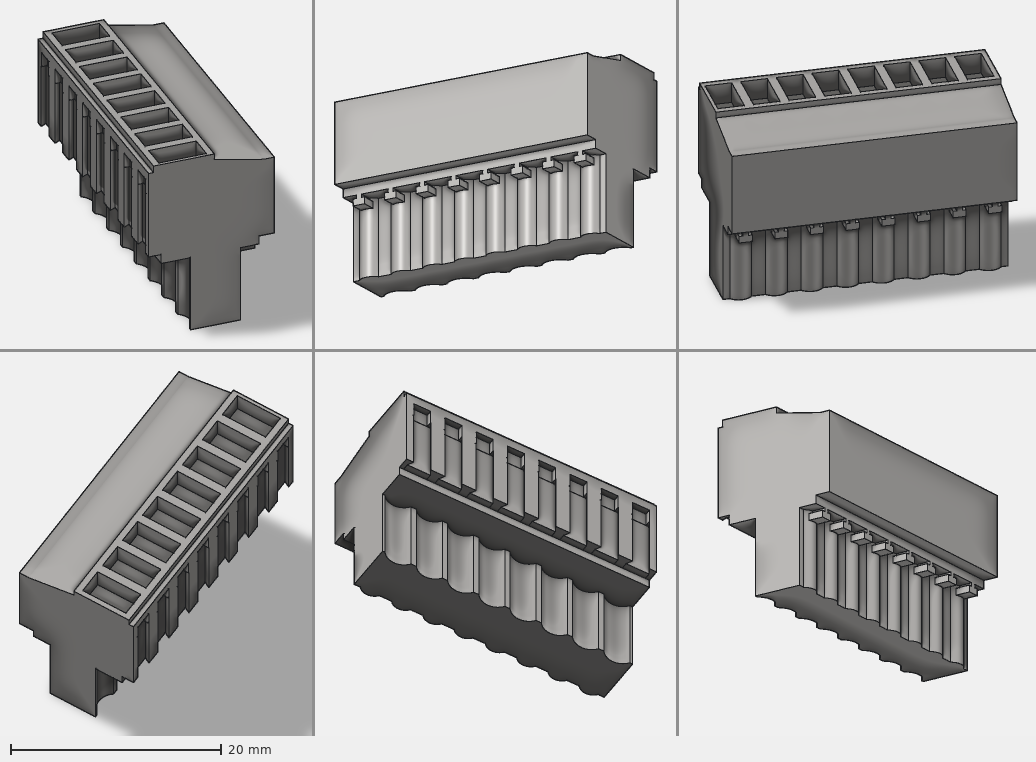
import cadquery as cq

LENGTH = 28.0
DEPTH = 12.9
HEIGHT = 18.7
POLE_COUNT = 8
PITCH = LENGTH / POLE_COUNT

RIM_FRONT_Y = 0.5
RIM_BACK_Y = 6.75
SLOPE_BACK_Y = 11.82
FLANGE_FRONT_Y = 1.3
FLANGE_BACK_Y = 11.35
SHANK_FRONT_Y = 4.3
SHANK_BACK_Y = 9.45
LEDGE_Z = HEIGHT - 0.7
SLOPE_TOP_Z = HEIGHT - 0.62
SLOPE_BOTTOM_Z = HEIGHT - 1.65
BODY_FRONT_Z = 8.88
BODY_BACK_Z = 8.75
FLANGE_Z = 7.9

POCKET_WIDTH = 2.6
POCKET_FRONT_Y = 1.2
POCKET_BACK_Y = 6.08
POCKET_DEPTH = 2.1
POCKET_OFFSET_X = 0.08

HOLLOW_WIDTH = 2.9
HOLLOW_RISE = 0.73
HOLLOW_OFFSET_X = -0.03
BULGE_WIDTH = 2.13
BULGE_RISE = 0.5

WINDOW_WIDTH = 1.88
WINDOW_TOP_Z = HEIGHT - 1.75
SLIDE_TOP_Z = HEIGHT - 3.3
SLOT_MOUTH_WIDTH = 1.93
SLIDE_FACE_WIDTH = 2.58
SLIDE_FACE_Y = 0.62

TAB_NECK_WIDTH = 0.55
TAB_HEAD_WIDTH = 1.3
TAB_HEAD_TOP_Z = FLANGE_Z - 0.35
TAB_BOTTOM_Z = FLANGE_Z - 1.05

POLE_XS = [(i + 0.5) * PITCH for i in range(POLE_COUNT)]


def box(width, center_x, y_range, z_range):
    """Block centred on center_x that spans the given Y and Z ranges."""
    y0, y1 = y_range
    z0, z1 = z_range
    block = cq.Workplane("XY").box(width, y1 - y0, z1 - z0, centered=False)
    return block.translate((center_x - width / 2, y0, z0))


def make_shell():
    """Stepped outline of the housing, extruded over the full length."""
    outline = [
        (SHANK_FRONT_Y, 0),
        (SHANK_FRONT_Y, FLANGE_Z),
        (FLANGE_FRONT_Y, FLANGE_Z),
        (FLANGE_FRONT_Y, BODY_FRONT_Z),
        (0, BODY_FRONT_Z),
        (0, LEDGE_Z),
        (RIM_FRONT_Y, LEDGE_Z),
        (RIM_FRONT_Y, HEIGHT),
        (RIM_BACK_Y, HEIGHT),
        (RIM_BACK_Y, SLOPE_TOP_Z),
        (SLOPE_BACK_Y, SLOPE_BOTTOM_Z),
        (DEPTH, SLOPE_BOTTOM_Z),
        (DEPTH, BODY_BACK_Z),
        (FLANGE_BACK_Y, BODY_BACK_Z),
        (FLANGE_BACK_Y, FLANGE_Z),
        (SHANK_BACK_Y, FLANGE_Z),
        (SHANK_BACK_Y, 0),
    ]
    return cq.Workplane("YZ").polyline(outline).close().extrude(LENGTH)


def make_scallop(x, base_y, width, rise):
    """Shallow round column whose flat side lies on base_y and whose crown points to the back."""
    half = width / 2
    return (
        cq.Workplane("XY")
        .moveTo(x - half, base_y)
        .threePointArc((x, base_y + rise), (x + half, base_y))
        .close()
        .extrude(FLANGE_Z)
    )


def make_pocket(x):
    """Rectangular pocket sunk into the top rim."""
    return box(POCKET_WIDTH, x + POCKET_OFFSET_X, (POCKET_FRONT_Y, POCKET_BACK_Y), (HEIGHT - POCKET_DEPTH, HEIGHT))


def make_slide(x):
    """Slide body that fills the back of one slot."""
    return box(SLIDE_FACE_WIDTH, x, (SLIDE_FACE_Y, FLANGE_FRONT_Y), (BODY_FRONT_Z, SLIDE_TOP_Z))


def make_slot(x):
    """Everything removed from the front wall at one pole, including the seat of the slide."""
    window = box(WINDOW_WIDTH, x, (0, SLIDE_FACE_Y), (SLIDE_TOP_Z, WINDOW_TOP_Z))
    mouth = SLOT_MOUTH_WIDTH / 2
    face = SLIDE_FACE_WIDTH / 2
    dovetail = (
        cq.Workplane("XY", origin=(x, 0, BODY_FRONT_Z))
        .polyline([(-mouth, 0), (mouth, 0), (face, SLIDE_FACE_Y), (-face, SLIDE_FACE_Y)])
        .close()
        .extrude(SLIDE_TOP_Z - BODY_FRONT_Z)
    )
    return window.union(dovetail).union(make_slide(x))


def make_tab(x):
    """T-shaped coding tab that hangs from the flange behind the shank."""
    y_range = (SHANK_BACK_Y, FLANGE_BACK_Y)
    neck = box(TAB_NECK_WIDTH, x, y_range, (TAB_HEAD_TOP_Z, FLANGE_Z))
    head = box(TAB_HEAD_WIDTH, x, y_range, (TAB_BOTTOM_Z, TAB_HEAD_TOP_Z))
    return neck.union(head)


def make_housing():
    housing = make_shell()
    for x in POLE_XS:
        housing = housing.cut(make_pocket(x))
        housing = housing.cut(make_slot(x))
        housing = housing.cut(make_scallop(x + HOLLOW_OFFSET_X, SHANK_FRONT_Y, HOLLOW_WIDTH, HOLLOW_RISE))
        housing = housing.union(make_scallop(x, SHANK_BACK_Y, BULGE_WIDTH, BULGE_RISE))
        housing = housing.union(make_tab(x))
    return housing


housing = make_housing()
slides = [make_slide(x) for x in POLE_XS]

result = cq.Compound.makeCompound([housing.val(), *[slide.val() for slide in slides]])